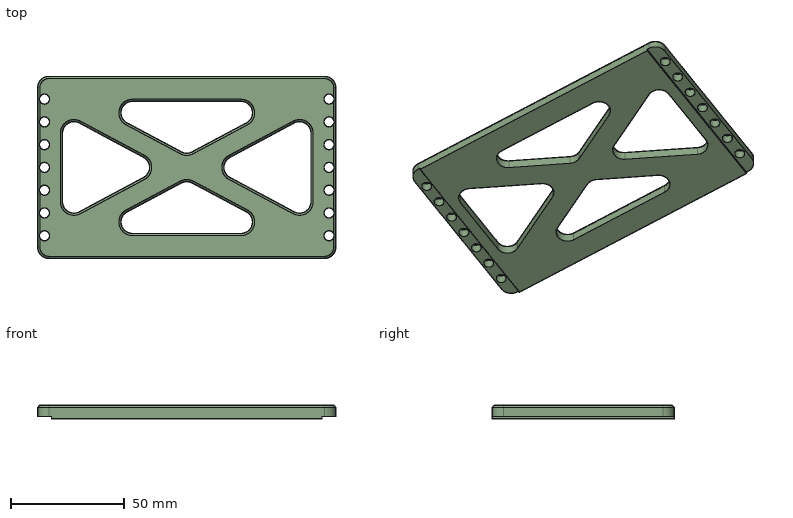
import cadquery as cq

length = 131.0
width = 80.0
thickness = 6.0
corner_radius = 5.0
edge_chamfer = 1.0

relief_length = 6.0
relief_depth = 1.0

hole_count = 7
hole_row_span = 60.0
hole_pitch = hole_row_span / (hole_count - 1)
hole_diameter = 4.3
hole_inset = 3.0
hole_x = length / 2 - hole_inset

window_radius = 5.0
end_tip_x = 21.4
end_base_x = 49.5
end_base_half_width = 15.0
side_tip_y = 11.3
side_base_y = 24.0
side_base_half_length = 23.8


def make_plate():
    """Flat plate with rounded vertical corners, resting on Z = 0."""
    plate = cq.Workplane("XY").box(length, width, thickness, centered=(True, True, False))
    return plate.edges("|Z").fillet(corner_radius)


def make_window(corner_centres):
    """Through cutter: a triangle of corner centres grown by the corner radius."""
    triangle = cq.Workplane("XY").polyline(corner_centres).close()
    return triangle.offset2D(window_radius).extrude(thickness)


def cut_windows(plate):
    """Four windows that leave an X-shaped brace in the middle of the plate."""
    for side in (-1, 1):
        end_window = make_window([
            (side * end_tip_x, 0),
            (side * end_base_x, end_base_half_width),
            (side * end_base_x, -end_base_half_width),
        ])
        side_window = make_window([
            (0, side * side_tip_y),
            (side_base_half_length, side * side_base_y),
            (-side_base_half_length, side * side_base_y),
        ])
        plate = plate.cut(end_window).cut(side_window)
    return plate


def cut_end_reliefs(plate):
    """Steps across the full width on the underside of both short ends."""
    relief_centres = [(side * (length - relief_length) / 2, 0) for side in (-1, 1)]
    reliefs = (
        cq.Workplane("XY")
        .pushPoints(relief_centres)
        .rect(relief_length, width)
        .extrude(relief_depth)
    )
    return plate.cut(reliefs)


def drill_end_holes(plate):
    """Two rows of holes close to the short ends."""
    hole_centres = [
        (side * hole_x, index * hole_pitch - hole_row_span / 2)
        for side in (-1, 1)
        for index in range(hole_count)
    ]
    drills = (
        cq.Workplane("XY")
        .pushPoints(hole_centres)
        .circle(hole_diameter / 2)
        .extrude(thickness)
    )
    return plate.cut(drills)


part = cut_windows(make_plate())
part = part.faces(">Z").edges().chamfer(edge_chamfer)
part = cut_end_reliefs(part)
result = drill_end_holes(part)